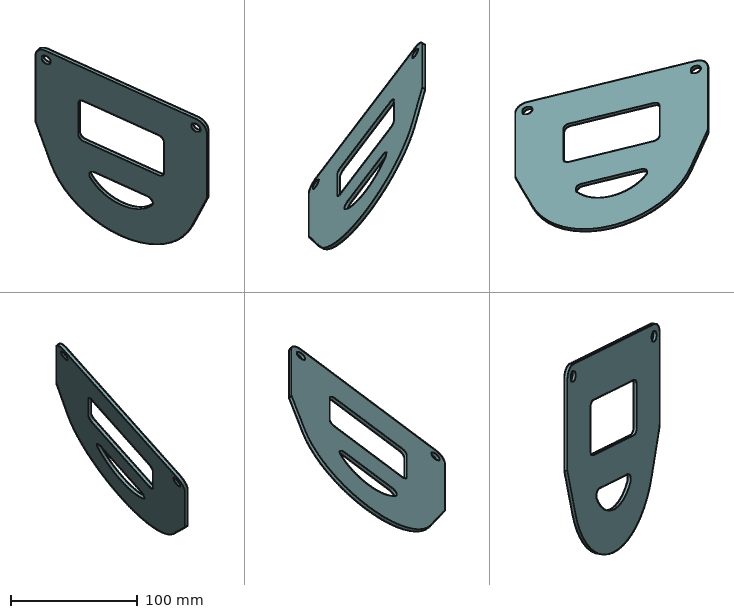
import cadquery as cq
import math

WIDTH = 160.0
HEIGHT = 170.0
THICKNESS = 3.0
TOP_CORNER_RADIUS = 10.0
TAPER_ANGLE = math.radians(20.0)
END_RADIUS = 70.0
END_CENTER_Z = END_RADIUS

HOLE_DIAMETER = 8.5

WINDOW_WIDTH = 80.0
WINDOW_HEIGHT = 45.0
WINDOW_CENTER_Z = 110.0
WINDOW_CORNER_RADIUS = 5.0

SLOT_RADIUS = END_RADIUS / 2
SLOT_TOP_Z = 58.0
SLOT_CORNER_RADIUS = 5.0


def make_plate():
    """Plate with straight sides, tapers and a tangent round lower end."""
    half_width = WIDTH / 2
    tangent_x = END_RADIUS * math.cos(TAPER_ANGLE)
    tangent_z = END_CENTER_Z - END_RADIUS * math.sin(TAPER_ANGLE)
    shoulder_z = tangent_z + (half_width - tangent_x) / math.tan(TAPER_ANGLE)

    plate = (
        cq.Workplane("XZ")
        .moveTo(-half_width, HEIGHT)
        .lineTo(half_width, HEIGHT)
        .lineTo(half_width, shoulder_z)
        .lineTo(tangent_x, tangent_z)
        .threePointArc((0, END_CENTER_Z - END_RADIUS), (-tangent_x, tangent_z))
        .lineTo(-half_width, shoulder_z)
        .close()
        .extrude(THICKNESS)
    )
    return plate.edges("|Y and >Z").fillet(TOP_CORNER_RADIUS)


def make_hole_cutters():
    """Cylinders for the two mounting holes."""
    hole_x = WIDTH / 2 - TOP_CORNER_RADIUS
    hole_z = HEIGHT - TOP_CORNER_RADIUS
    return (
        cq.Workplane("XZ")
        .pushPoints([(-hole_x, hole_z), (hole_x, hole_z)])
        .circle(HOLE_DIAMETER / 2)
        .extrude(THICKNESS)
    )


def make_window_cutter():
    """Rounded rectangular block for the window."""
    window = (
        cq.Workplane("XZ")
        .center(0, WINDOW_CENTER_Z)
        .rect(WINDOW_WIDTH, WINDOW_HEIGHT)
        .extrude(THICKNESS)
    )
    return window.edges("|Y").fillet(WINDOW_CORNER_RADIUS)


def make_slot_cutter():
    """Circular segment below a flat top, with its two corners rounded."""
    half_chord = math.sqrt(SLOT_RADIUS**2 - (END_CENTER_Z - SLOT_TOP_Z) ** 2)
    slot = (
        cq.Workplane("XZ")
        .moveTo(-half_chord, SLOT_TOP_Z)
        .lineTo(half_chord, SLOT_TOP_Z)
        .threePointArc((0, END_CENTER_Z - SLOT_RADIUS), (-half_chord, SLOT_TOP_Z))
        .close()
        .extrude(THICKNESS)
    )
    return slot.edges("|Y").fillet(SLOT_CORNER_RADIUS)


result = (
    make_plate()
    .cut(make_hole_cutters())
    .cut(make_window_cutter())
    .cut(make_slot_cutter())
)